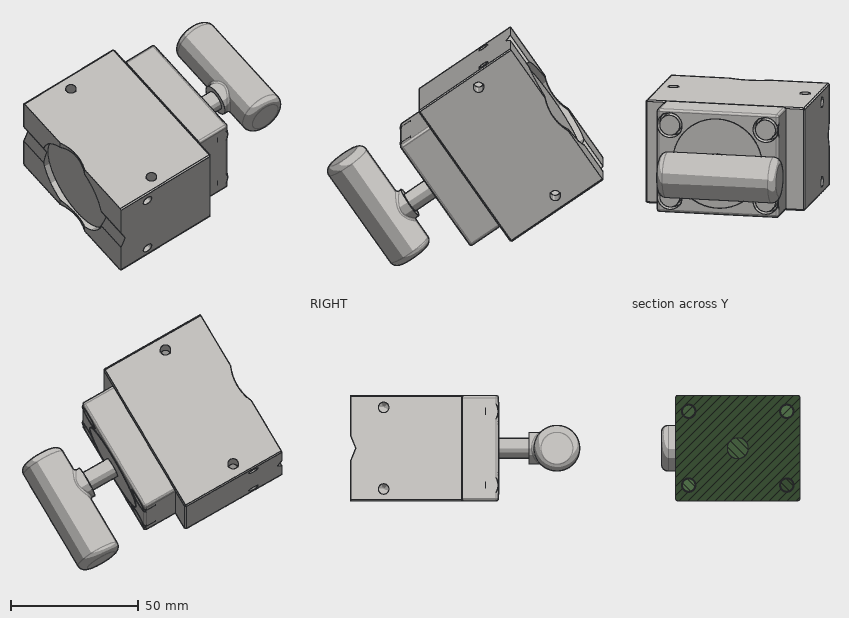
import cadquery as cq
import math


overall_length = 90.0

block_width = 64.0
block_height = 41.5
block_length = 44.0
block_chamfer = 0.5

notch_depth = 2.0
notch_half_height = 4.9
groove_depth = 1.7
groove_half_width = 8.1

magnet_diameter = 39.0
magnet_recess = 2.5

mount_hole_diameter = 4.1
mount_hole_depth = 10.0
drill_point_angle = 118.0
side_hole_y = 13.0
side_hole_z = 16.0
top_hole_x = 26.5
top_hole_y = 19.0

cover_width = 49.0
cover_thickness = 14.0
cover_fillet = 1.0
boss_diameter = 36.0
boss_height = 0.3

screw_head_diameter = 8.0
screw_head_height = 5.0
screw_shank_diameter = 5.0
screw_clearance_diameter = 5.5
counterbore_diameter = 10.0
screw_thread_depth = 10.0
screw_x = 19.3
screw_z = 14.5

stem_diameter = 8.0

grip_diameter = 18.0
grip_end_diameter = 12.5
grip_length = 48.0
grip_offset_x = -6.0
collar_diameter = 12.5
collar_start_y = 70.0
collar_fillet = 1.0

cover_back_y = block_length + cover_thickness
boss_back_y = cover_back_y + boss_height
grip_center_y = overall_length - grip_diameter / 2
grip_end_fillet = (grip_diameter - grip_end_diameter) / 2
head_seat_y = cover_back_y - screw_head_height
screw_tip_y = block_length - screw_thread_depth
screw_places = [(x, z) for x in (-screw_x, screw_x) for z in (-screw_z, screw_z)]


def y_cylinder(diameter, start_y, end_y, x=0.0, z=0.0):
    """Cylinder along +Y from start_y to end_y."""
    return cq.Workplane(
        cq.Solid.makeCylinder(
            diameter / 2, end_y - start_y, cq.Vector(x, start_y, z), cq.Vector(0, 1, 0)
        )
    )


def y_box(width, start_y, end_y):
    """Full-height box centred on x = 0 and z = 0."""
    length = end_y - start_y
    return cq.Workplane("XY").box(width, length, block_height).translate((0, (start_y + end_y) / 2, 0))


def drilled_hole(entry, direction):
    """Blind hole with a conical drill point, ready to be cut."""
    radius = mount_hole_diameter / 2
    point_length = radius / math.tan(math.radians(drill_point_angle / 2))
    way = cq.Vector(*direction)
    start = cq.Vector(*entry)
    bore = cq.Solid.makeCylinder(radius, mount_hole_depth, start, way)
    point = cq.Solid.makeCone(radius, 0, point_length, start + way * mount_hole_depth, way)
    return cq.Workplane(bore.fuse(point))


def make_screw(x, z):
    """Cap screw with its head flush with the back of the cover."""
    shank = y_cylinder(screw_shank_diameter, screw_tip_y, head_seat_y, x, z)
    head = y_cylinder(screw_head_diameter, head_seat_y, cover_back_y, x, z)
    return shank.union(head)


def make_block(screws, magnet_bore):
    block = y_box(block_width, 0, block_length)
    block = block.edges("|Y").chamfer(block_chamfer)
    block = block.faces(">Y").edges().chamfer(block_chamfer)

    notch = (
        cq.Workplane("YZ")
        .polyline([(0, -notch_half_height), (notch_depth, 0), (0, notch_half_height)])
        .close()
        .extrude(block_width / 2, both=True)
    )
    groove = (
        cq.Workplane("XY")
        .moveTo(-groove_half_width, 0)
        .threePointArc((0, groove_depth), (groove_half_width, 0))
        .close()
        .extrude(block_height / 2, both=True)
    )
    block = block.cut(notch).cut(groove).cut(magnet_bore)

    for sign in (-1, 1):
        for z in (-side_hole_z, side_hole_z):
            block = block.cut(drilled_hole((sign * block_width / 2, side_hole_y, z), (-sign, 0, 0)))
        for x in (-top_hole_x, top_hole_x):
            block = block.cut(drilled_hole((x, top_hole_y, sign * block_height / 2), (0, 0, -sign)))

    for screw in screws:
        block = block.cut(screw)
    return block


def make_counterbore_lip(x, z):
    """Conical lip that keeps a wall around a counterbore where the rounded edge would cut it away."""
    rim_radius = counterbore_diameter / 2
    return cq.Workplane(
        cq.Solid.makeCone(
            rim_radius,
            rim_radius + cover_fillet,
            cover_fillet,
            cq.Vector(x, cover_back_y, z),
            cq.Vector(0, -1, 0),
        )
    )


def make_cover(stem):
    blank = y_box(cover_width, block_length, cover_back_y)
    cover = blank.edges("|Y or >Y").fillet(cover_fillet)
    for x, z in screw_places:
        cover = cover.union(make_counterbore_lip(x, z).intersect(blank))
    cover = cover.union(y_cylinder(boss_diameter, cover_back_y, boss_back_y))
    for x, z in screw_places:
        cover = cover.cut(y_cylinder(screw_clearance_diameter, block_length, cover_back_y, x, z))
        cover = cover.cut(y_cylinder(counterbore_diameter, head_seat_y, boss_back_y, x, z))
    return cover.cut(stem)


def make_handle():
    grip = (
        cq.Workplane("YZ")
        .center(grip_center_y, 0)
        .circle(grip_diameter / 2)
        .extrude(grip_length)
        .translate((grip_offset_x - grip_length / 2, 0, 0))
        .faces("<X or >X")
        .edges()
        .fillet(grip_end_fillet)
    )
    handle = grip.union(y_cylinder(collar_diameter, collar_start_y, grip_center_y))
    blend_zone = cq.selectors.BoxSelector(
        (-collar_diameter, collar_start_y + collar_fillet, -collar_diameter),
        (collar_diameter, grip_center_y, collar_diameter),
    )
    return handle.edges(blend_zone).fillet(collar_fillet)


screws = [make_screw(x, z) for x, z in screw_places]
magnet = y_cylinder(magnet_diameter, magnet_recess, block_length)
magnet_bore = y_cylinder(magnet_diameter, 0, block_length)
stem = y_cylinder(stem_diameter, block_length, collar_start_y)
block = make_block(screws, magnet_bore)
cover = make_cover(stem)
handle = make_handle()

result = cq.Compound.makeCompound([
    block.val(),
    magnet.val(),
    cover.val(),
    *[screw.val() for screw in screws],
    stem.val(),
    handle.val(),
])